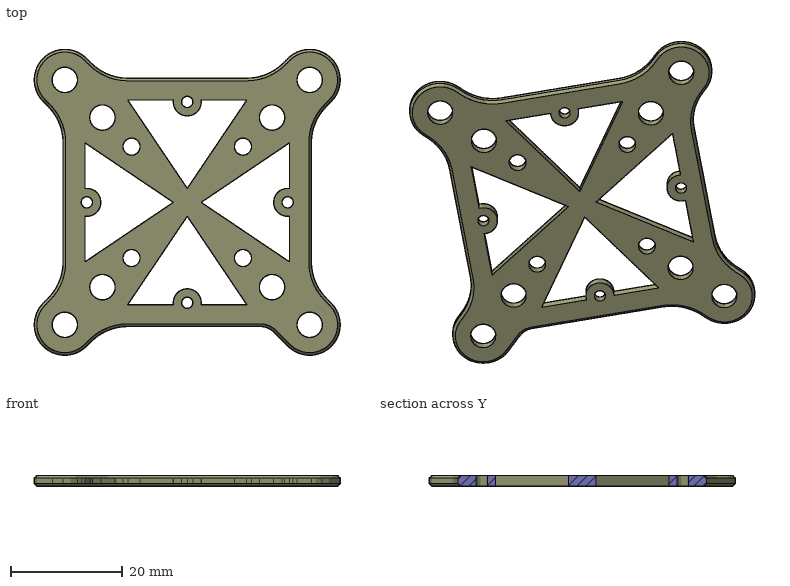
import cadquery as cq
import math

overall_size = 54.95
thickness = 2.0
edge_half = 22.3
edge_chamfer = 0.5

arm_radius = 5.5
arm_centre = overall_size / 2 - arm_radius
blend_radius = 9.3
tight_blend_radius = 3.45

diagonal_holes = [(arm_centre, 4.5), (15.2, 4.5), (10.0, 3.0)]

window_outer = 18.35
window_apex = 2.55
window_half_width = 10.65
eye_offset = 18.0
eye_diameter = 5.05
eye_hole_diameter = 2.0

quarter_turns = [0, 90, 180, 270]


def arm(angle):
    """Slot-shaped arm joining two opposite corners through the plate centre."""
    reach = arm_centre * math.sqrt(2)
    return (
        cq.Workplane("XY")
        .slot2D(2 * (reach + arm_radius), 2 * arm_radius, angle)
        .extrude(thickness)
    )


def inner_corner(x, y):
    """Selector for the upright edge at (x, y)."""
    margin = 0.05
    return cq.selectors.BoxSelector(
        (x - margin, y - margin, 0),
        (x + margin, y + margin, thickness),
    )


def plate_blank():
    """Square plate with two crossed arms, blended and chamfered all round."""
    plate = cq.Workplane("XY").rect(2 * edge_half, 2 * edge_half).extrude(thickness)
    plate = plate.union(arm(45)).union(arm(-45))

    along = edge_half - arm_radius * math.sqrt(2)
    tight_corner = (along, -edge_half)
    for sign_x in (-1, 1):
        for sign_y in (-1, 1):
            for x, y in [(along, edge_half), (edge_half, along)]:
                corner = (sign_x * x, sign_y * y)
                radius = tight_blend_radius if corner == tight_corner else blend_radius
                plate = plate.edges("|Z").edges(inner_corner(*corner)).fillet(radius)
    return plate.faces("<Z or >Z").edges().chamfer(edge_chamfer)


def window_cutter():
    """Triangular opening on the +X side, less the screw eye, plus the eye's hole."""
    triangle = (
        cq.Workplane("XY")
        .moveTo(window_apex, 0)
        .lineTo(window_outer, window_half_width)
        .lineTo(window_outer, -window_half_width)
        .close()
        .extrude(thickness)
    )
    eye = cq.Workplane("XY").center(eye_offset, 0).circle(eye_diameter / 2).extrude(thickness)
    eye_hole = cq.Workplane("XY").center(eye_offset, 0).circle(eye_hole_diameter / 2).extrude(thickness)
    return triangle.cut(eye).union(eye_hole)


result = plate_blank()

for turn in quarter_turns:
    result = result.cut(window_cutter().rotate((0, 0, 0), (0, 0, 1), turn))

for offset, diameter in diagonal_holes:
    holes = (
        cq.Workplane("XY")
        .rect(2 * offset, 2 * offset, forConstruction=True)
        .vertices()
        .circle(diameter / 2)
        .extrude(thickness)
    )
    result = result.cut(holes)